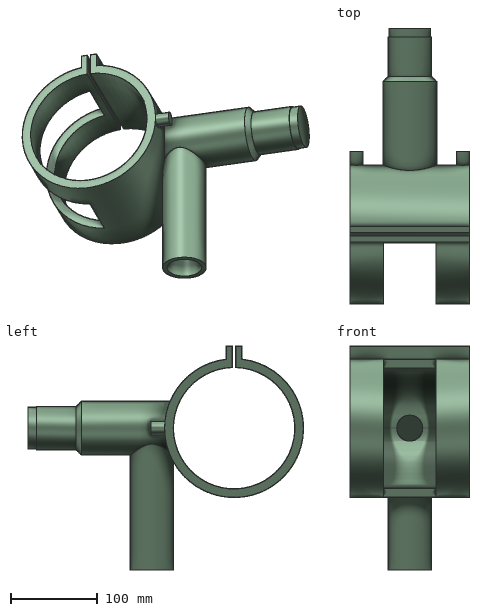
import cadquery as cq

ring_outer_radius = 80.0
ring_inner_radius = 70.0
ring_width = 138.0
window_width = 60.0
window_edge_y = -10.2

flange_top_z = 94.7
flange_span = 18.0
slit_width = 3.8

tower_radius = 31.0
spigot_radius = 25.0
shoulder_y = 176.0
spigot_end_y = 228.0
bore_radius = 15.0

cap_radius = 24.0
cap_thickness = 10.0

branch_radius = 25.0
branch_bore_radius = 20.0
branch_y = 94.7
branch_bottom_z = -163.5

pin_radius = 7.5
pin_end_y = 95.5
pin_x = ring_width / 2 - pin_radius


def rod_along_y(radius, start_y, end_y, x=0):
    """Cylinder parallel to Y between two Y positions, at height zero."""
    axis = cq.Vector(0, 1, 0)
    start = cq.Vector(x, start_y, 0)
    return cq.Workplane(cq.Solid.makeCylinder(radius, end_y - start_y, start, axis))


def rod_along_x(radius):
    """Cylinder on the ring axis, as long as the ring is wide."""
    return cq.Workplane("YZ").circle(radius).extrude(ring_width / 2, both=True)


def branch_rod(radius):
    """Vertical cylinder from the branch mouth up to the tower axis."""
    mouth = cq.Workplane("XY", origin=(0, branch_y, branch_bottom_z))
    return mouth.circle(radius).extrude(-branch_bottom_z)


def make_tower():
    """Stepped round tower with a conical shoulder, revolved about Y."""
    cone_end_y = shoulder_y + tower_radius - spigot_radius
    return (
        cq.Workplane("XY")
        .lineTo(tower_radius, 0)
        .lineTo(tower_radius, shoulder_y)
        .lineTo(spigot_radius, cone_end_y)
        .lineTo(spigot_radius, spigot_end_y)
        .lineTo(0, spigot_end_y)
        .close()
        .revolve(360, (0, 0, 0), (0, 1, 0))
    )


def make_saddle():
    """Clamp ring with flanges, pins, tower and branch in one piece."""
    flanges = cq.Workplane("XY").box(ring_width, flange_span, flange_top_z, centered=(True, True, False))
    saddle = rod_along_x(ring_outer_radius).union(flanges)

    window_depth = ring_outer_radius + window_edge_y
    window = (
        cq.Workplane("XY")
        .box(window_width, window_depth, 2 * ring_outer_radius)
        .translate((0, window_edge_y - window_depth / 2, 0))
    )
    saddle = saddle.cut(window)

    saddle = saddle.union(make_tower()).union(branch_rod(branch_radius))
    for x in (-pin_x, pin_x):
        saddle = saddle.union(rod_along_y(pin_radius, 0, pin_end_y, x))

    slit = cq.Workplane("XY").box(ring_width, slit_width, flange_top_z, centered=(True, True, False))
    saddle = saddle.cut(rod_along_x(ring_inner_radius)).cut(slit)

    saddle = saddle.cut(rod_along_y(bore_radius, 0, spigot_end_y))
    return saddle.cut(branch_rod(branch_bore_radius))


def make_cap():
    """Plain disc seated on the end of the tower."""
    return rod_along_y(cap_radius, spigot_end_y, spigot_end_y + cap_thickness)


saddle = make_saddle()
cap = make_cap()
result = cq.Compound.makeCompound([saddle.solids().val(), cap.val()])